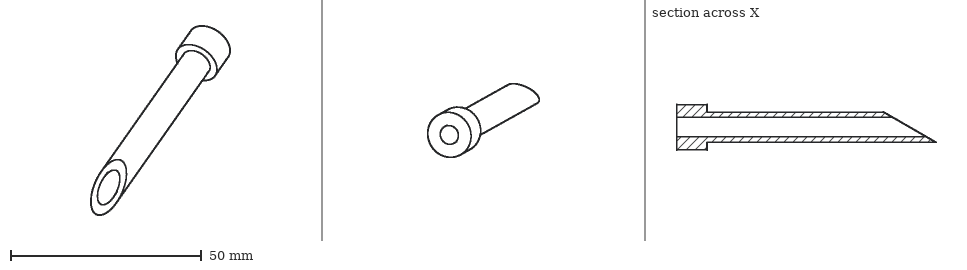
import cadquery as cq
import math

HEAD_DIAMETER = 12.0
HEAD_LENGTH = 8.0
TUBE_DIAMETER = 8.0
TUBE_LENGTH = 60.0
BORE_DIAMETER = 5.0
BEVEL_ANGLE = 30.0

TOTAL_LENGTH = HEAD_LENGTH + TUBE_LENGTH
TUBE_RADIUS = TUBE_DIAMETER / 2
BEVEL_LENGTH = TUBE_DIAMETER / math.tan(math.radians(BEVEL_ANGLE))


def cylinder_along_minus_y(diameter, length):
    """Cylinder on the Y axis, running from the origin toward -Y."""
    return cq.Workplane("XZ").circle(diameter / 2).extrude(length)


def tip_wedge():
    """Triangular prism above the slanted tip, wider than the tube in X."""
    tip_y = -TOTAL_LENGTH
    return (
        cq.Workplane("YZ")
        .moveTo(tip_y, -TUBE_RADIUS)
        .lineTo(tip_y + BEVEL_LENGTH, TUBE_RADIUS)
        .lineTo(tip_y, TUBE_RADIUS)
        .close()
        .extrude(TUBE_DIAMETER, both=True)
    )


head = cylinder_along_minus_y(HEAD_DIAMETER, HEAD_LENGTH)
tube = cylinder_along_minus_y(TUBE_DIAMETER, TOTAL_LENGTH)
bore = cylinder_along_minus_y(BORE_DIAMETER, TOTAL_LENGTH)

result = head.union(tube).cut(bore).cut(tip_wedge())